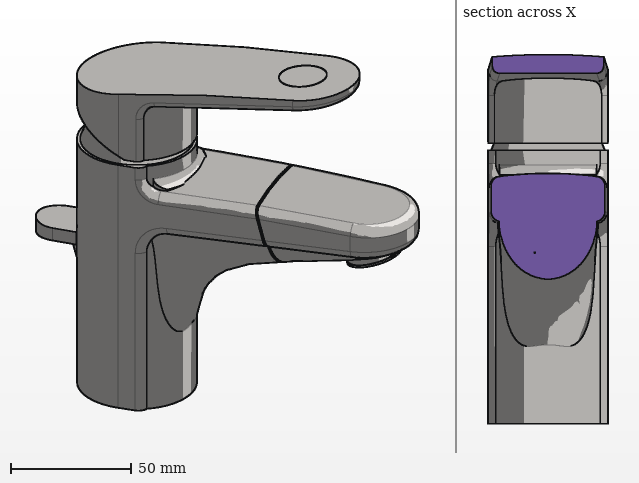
import cadquery as cq
import math

column_radius = 25.07
column_height = 114.0
edge_reach = 12.7

ball_radius = 24.7
ball_center_z = 107.0

spout_tip_x = 124.04
spout_tip_radius = 21.8
spout_top_root = (25.0, 104.3)
spout_top_mid = (75.0, 104.2)
spout_top_tip = (119.6, 102.1)
spout_crown = 2.0
spout_root_x = 23.0
spout_root_bottom_z = 83.5
spout_tip_bottom_z = 87.3
spout_edge_round = 4.4
spout_upper_corner = 5.5
spout_lower_corner = 9.5
top_blend_radius = 4.0
blend_sink = 0.5

groove_top = (60.9, 104.2)
groove_bottom = (69.5, 71.6)
groove_width = 0.7
groove_depth = 0.4

belly_inset = 3.2
belly_steps = 6
belly_overlap = 1.2
belly_line = [
    (14.0, 6.0),
    (20.0, 20.5),
    (column_radius, 33.0),
    (28.5, 45.5),
    (35.5, 56.5),
    (43.5, 62.7),
    (53.0, 67.2),
    groove_bottom,
    (82.0, 74.6),
    (93.0, 77.5),
    (105.0, 81.2),
    (117.5, 85.0),
]

aerator_diameter = 23.0
aerator_collar_diameter = 23.6
aerator_collar_height = 1.0
aerator_height = 6.0
aerator_face_center = (105.6, 78.7)
aerator_tilt = 16.5

lever_tip_x = 97.6
lever_tip_radius = 21.5
lever_edge_reach = 11.5
lever_base_z = 116.8
lever_back_bottom_z = 131.7
lever_cut_end_x = 3.8
lever_under_root = (25.7, 144.0)
lever_under_tip_z = 153.4
lever_inner_corner = 6.0
lever_edge_round = 3.0
lever_top_back_z = 143.6
lever_top_mid = (25.7, 152.1)
lever_top_tip_z = 158.63
lever_crown = 1.2
badge_diameter = 20.0
badge_x = 73.8
badge_depth = 0.2

knob_back_x = -44.3
knob_front_x = -23.1
knob_radius = 10.5
knob_bottom_z = 65.1
knob_side_z = 71.0
knob_crown = 0.6
rod_diameter = 3.45
rod_top_x = -28.4
rod_length = 25.0
rod_tilt = 15.8

clearance = 10.0
overlap = 1.0
pick_margin = 0.5
envelope_depth = 60.0
envelope_sweep = 90.0


def tapered_outline(tip_x, tip_radius, inset=0.0):
    """Plan outline wire: round back, straight tapering flanks, round tip, all tangent."""
    back_r = column_radius - inset
    tip_r = tip_radius - inset
    tip_center = tip_x - tip_radius
    lean = (back_r - tip_r) / tip_center
    rise = math.sqrt(1 - lean**2)
    return (
        cq.Workplane("XY")
        .moveTo(back_r * lean, back_r * rise)
        .lineTo(tip_center + tip_r * lean, tip_r * rise)
        .threePointArc((tip_center + tip_r, 0), (tip_center + tip_r * lean, -tip_r * rise))
        .lineTo(back_r * lean, -back_r * rise)
        .threePointArc((-back_r, 0), (back_r * lean, back_r * rise))
        .close()
    )


def half_width(x):
    """Half width of the spout at a given X, along the flanks or round the tip."""
    tip_center = spout_tip_x - spout_tip_radius
    if x > tip_center:
        return math.sqrt(spout_tip_radius**2 - (x - tip_center) ** 2)
    return column_radius - (column_radius - spout_tip_radius) * x / tip_center


def side_prism(profile):
    """Extrude an XZ profile symmetrically across the width of the part."""
    return profile.extrude(2 * column_radius, both=True)


def round_column(bottom_z, top_z):
    """Full round of the column between two heights."""
    return cq.Workplane("XY", origin=(0, 0, bottom_z)).circle(column_radius).extrude(top_z - bottom_z)


def arc_center(a, b, c):
    """Centre of the circle through three points of a plane."""
    d = 2 * (a[0] * (b[1] - c[1]) + b[0] * (c[1] - a[1]) + c[0] * (a[1] - b[1]))
    sa, sb, sc = (p[0] ** 2 + p[1] ** 2 for p in (a, b, c))
    u = (sa * (b[1] - c[1]) + sb * (c[1] - a[1]) + sc * (a[1] - b[1])) / d
    v = (sa * (c[0] - b[0]) + sb * (a[0] - c[0]) + sc * (b[0] - a[0])) / d
    return u, v


def make_domed_envelope(back_point, mid_point, tip_point, crown):
    """Solid whose upper face is an arc section turned about a far Y axis, through three points."""
    center_x, center_z = arc_center(back_point, mid_point, tip_point)
    radius = math.dist((center_x, center_z), tip_point)
    half = column_radius + overlap
    section = (
        cq.Workplane("YZ", origin=(center_x, 0, center_z))
        .moveTo(-half, radius - envelope_depth)
        .lineTo(-half, radius - crown)
        .threePointArc((0, radius), (half, radius - crown))
        .lineTo(half, radius - envelope_depth)
        .close()
    )
    envelope = section.revolve(envelope_sweep, (0, 0, 0), (1, 0, 0))
    return envelope.rotate((center_x, 0, center_z), (center_x, 1, center_z), -envelope_sweep / 2)


def make_flanked_body():
    """Column and spout sharing flat flanks, with rounded edges along the side outline."""
    beyond = spout_tip_x + clearance
    back = -2 * column_radius
    profile = (
        cq.Workplane("XZ")
        .moveTo(back, 0)
        .lineTo(edge_reach, 0)
        .lineTo(edge_reach, spout_root_bottom_z - spout_lower_corner)
        .radiusArc((edge_reach + spout_lower_corner, spout_root_bottom_z), spout_lower_corner)
        .lineTo(beyond, spout_tip_bottom_z)
        .lineTo(beyond, column_height)
        .lineTo(back, column_height)
        .close()
    )
    body = tapered_outline(spout_tip_x, spout_tip_radius).extrude(column_height)
    body = body.intersect(side_prism(profile)).cut(make_space_over_spout())
    step_edge = cq.selectors.NearestToPointSelector((edge_reach, 0, spout_top_root[1]))
    body = body.edges(step_edge).fillet(spout_upper_corner)
    flank_zone = cq.selectors.BoxSelector(
        (edge_reach - pick_margin, column_radius / 2, pick_margin),
        (beyond, column_radius, column_height - pick_margin),
    )
    return body.edges(flank_zone).edges("not(|Y)").fillet(spout_edge_round)


def make_space_over_spout():
    """Everything above the gently domed spout top, in front of the column flanks."""
    width = 3 * column_radius
    height = column_height - spout_root_bottom_z
    block = cq.Workplane("XY").box(2 * spout_tip_x, width, height, centered=(False, True, False))
    block = block.translate((edge_reach, 0, spout_root_bottom_z))
    return block.cut(make_domed_envelope(spout_top_root, spout_top_mid, spout_top_tip, spout_crown))


def make_top_blend():
    """Concave ring where the front of the column meets the spout top."""
    toe_z = spout_top_root[1] - blend_sink
    low_z = toe_z - top_blend_radius
    outer = column_radius + top_blend_radius
    ring = (
        cq.Workplane("XZ")
        .moveTo(0, low_z)
        .lineTo(outer, low_z)
        .lineTo(outer, toe_z)
        .radiusArc((column_radius, toe_z + top_blend_radius), top_blend_radius)
        .lineTo(0, toe_z + top_blend_radius)
        .close()
        .revolve(360, (0, 0, 0), (0, 1, 0))
    )
    outline = tapered_outline(spout_tip_x, spout_tip_radius, spout_edge_round)
    front = cq.Workplane("XY").rect(4 * column_radius, 4 * column_radius).extrude(column_height)
    front = front.translate((2 * column_radius + edge_reach, 0, 0))
    return ring.intersect(outline.extrude(column_height)).intersect(front)


def make_belly():
    """Half-elliptic underside that sweeps from the column out to the spout tip."""
    slope = (spout_tip_bottom_z - spout_root_bottom_z) / (spout_tip_x - spout_root_x)
    wires = []
    for x, low_z in belly_line:
        half = half_width(x) - belly_inset
        flat_z = spout_root_bottom_z + slope * (x - spout_root_x) + belly_overlap
        depth = flat_z - low_z
        angles = [math.pi * step / belly_steps for step in range(belly_steps + 1)]
        points = [(-half * math.cos(angle), -depth * math.sin(angle)) for angle in angles]
        section = cq.Workplane("YZ", origin=(x, 0, flat_z)).spline(points).close()
        wires.append(section.val())
    return cq.Workplane(cq.Solid.makeLoft(wires))


def make_lever_envelope():
    """Solid under the lever's domed top surface."""
    back_point = (-column_radius, lever_top_back_z)
    tip_point = (lever_tip_x, lever_top_tip_z)
    return make_domed_envelope(back_point, lever_top_mid, tip_point, lever_crown)


def make_lever():
    """Lever with slanted back, flat flanks and a gently domed, rising top."""
    beyond = lever_tip_x + clearance
    back = -2 * column_radius
    ceiling = lever_top_tip_z + clearance
    corner_z = lever_under_root[1]
    slope = (lever_under_tip_z - corner_z) / (lever_tip_x - lever_under_root[0])
    inner_corner_z = corner_z - slope * (lever_under_root[0] - lever_edge_reach)
    profile = (
        cq.Workplane("XZ")
        .moveTo(back, lever_base_z)
        .lineTo(lever_edge_reach, lever_base_z)
        .lineTo(lever_edge_reach, inner_corner_z)
        .lineTo(beyond, inner_corner_z + slope * (beyond - lever_edge_reach))
        .lineTo(beyond, ceiling)
        .lineTo(back, ceiling)
        .close()
    )
    inner_edge = cq.selectors.NearestToPointSelector((lever_edge_reach, 0, inner_corner_z))
    side = side_prism(profile).edges(inner_edge).fillet(lever_inner_corner)
    outline = tapered_outline(lever_tip_x, lever_tip_radius).extrude(ceiling)
    lever = outline.intersect(side)
    rounded_zone = cq.selectors.BoxSelector(
        (lever_edge_reach - pick_margin, -column_radius, lever_base_z + pick_margin),
        (beyond, column_radius, lever_top_tip_z - pick_margin),
    )
    lever = lever.edges(rounded_zone).edges("not(|Y)").fillet(lever_edge_round)
    lever = lever.union(round_column(lever_base_z, corner_z + overlap))
    cut_slope = (lever_back_bottom_z - lever_base_z) / (column_radius + lever_cut_end_x)
    slant = (
        cq.Workplane("XZ")
        .moveTo(lever_cut_end_x, lever_base_z)
        .lineTo(back, lever_base_z)
        .lineTo(back, lever_base_z + cut_slope * (lever_cut_end_x - back))
        .close()
    )
    return lever.cut(side_prism(slant)).intersect(make_lever_envelope())


def make_knob():
    """Pop-up knob with domed top and bottom, and its slanted pull rod."""
    tip_center = knob_back_x + knob_radius
    outline = (
        cq.Workplane("XY")
        .moveTo(knob_front_x, knob_radius)
        .lineTo(tip_center, knob_radius)
        .threePointArc((knob_back_x, 0), (tip_center, -knob_radius))
        .lineTo(knob_front_x, -knob_radius)
        .close()
        .extrude(column_height)
    )
    section = (
        cq.Workplane("YZ", origin=(knob_back_x, 0, 0))
        .moveTo(-knob_radius, knob_bottom_z)
        .lineTo(-knob_radius, knob_side_z)
        .threePointArc((0, knob_side_z + knob_crown), (knob_radius, knob_side_z))
        .lineTo(knob_radius, knob_bottom_z)
        .threePointArc((0, knob_bottom_z - knob_crown), (-knob_radius, knob_bottom_z))
        .close()
        .extrude(knob_front_x - knob_back_x)
    )
    tilt = math.radians(rod_tilt)
    rod = cq.Solid.makeCylinder(
        rod_diameter / 2,
        rod_length,
        cq.Vector(rod_top_x, 0, knob_bottom_z + overlap),
        cq.Vector(math.sin(tilt), 0, -math.cos(tilt)),
    )
    return outline.intersect(section).union(cq.Workplane(rod))


def make_aerator():
    """Tilted round outlet under the spout tip, with a slightly wider collar at its mouth."""
    tilt = math.radians(aerator_tilt)
    plane = cq.Plane(
        origin=(aerator_face_center[0], 0, aerator_face_center[1]),
        xDir=(0, 1, 0),
        normal=(-math.sin(tilt), 0, math.cos(tilt)),
    )
    collar = cq.Workplane(plane).circle(aerator_collar_diameter / 2).extrude(aerator_collar_height)
    return collar.union(cq.Workplane(plane).circle(aerator_diameter / 2).extrude(aerator_height))


def cut_groove(body):
    """Cut the shallow joint that runs all round the spout."""
    run = groove_bottom[0] - groove_top[0]
    drop = groove_top[1] - groove_bottom[1]
    plane = cq.Plane(
        origin=(groove_top[0], 0, groove_top[1]),
        xDir=(0, 1, 0),
        normal=(drop, 0, run),
    )
    reach = 4 * column_radius
    slab = cq.Workplane(plane).rect(reach, reach).extrude(groove_width / 2, both=True)
    thick_slab = cq.Workplane(plane).rect(reach, reach).extrude(groove_width, both=True)
    core = body.intersect(thick_slab).val()
    center = core.Center()
    shrink = 1 - groove_depth / half_width(groove_top[0])
    core = core.translate(-center).scale(shrink).translate(center)
    return body.cut(slab.cut(cq.Workplane(core)))


def make_badge_cut():
    """Shallow round recess that follows the lever top."""
    disc = cq.Workplane("XY").center(badge_x, 0).circle(badge_diameter / 2).extrude(2 * lever_top_tip_z)
    return disc.cut(make_lever_envelope().translate((0, 0, -badge_depth)))


spout_body = make_flanked_body()
spout_body = spout_body.union(round_column(0, column_height))
spout_body = spout_body.union(make_belly())
spout_body = spout_body.union(make_top_blend())
spout_body = cut_groove(spout_body)

ball = cq.Workplane("XY").sphere(ball_radius).translate((0, 0, ball_center_z))
lever = make_lever().cut(make_badge_cut())

result = spout_body.union(make_aerator()).union(ball).union(lever).union(make_knob())